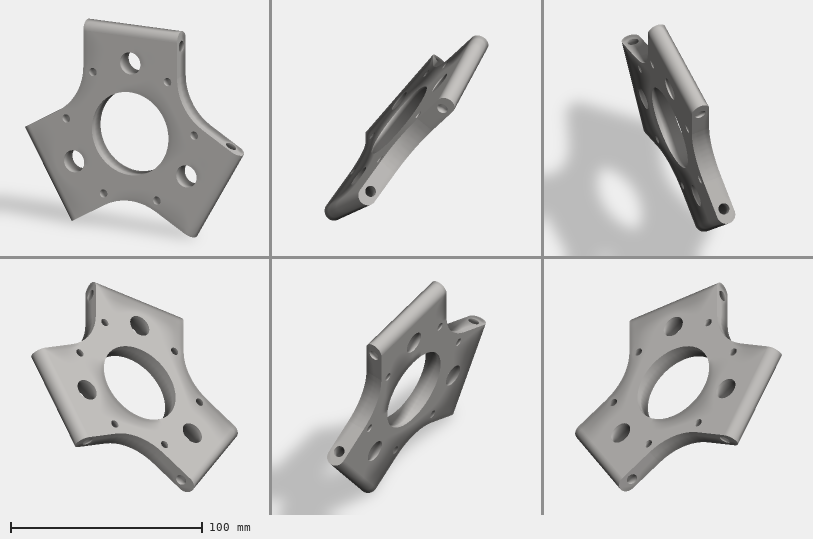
import cadquery as cq
import math

outer_width = 127.5
thickness = 10.0
arm_width = 55.1
arm_count = 3
arm_half_width = arm_width / 2
arm_reach = (outer_width / 2 - arm_half_width * math.sin(math.radians(30))) / math.cos(math.radians(30))

inner_corner_radius = 30.0
tip_radius = thickness / 2

bore_diameter = 45.0
arm_hole_diameter = 12.0
arm_hole_distance = 38.1
screw_hole_diameter = 4.5
screw_circle_radius = 37.7
screw_angle_from_arm = 35.5
pin_hole_diameter = 5.9
pin_hole_inset = 8.0


def polar_point(radius, angle_from_top):
    """Point in the plate plane, with the angle measured from +Z."""
    angle = math.radians(angle_from_top)
    return (radius * math.sin(angle), radius * math.cos(angle))


def make_arm():
    """Upright arm from the plate centre to its fully rounded tip."""
    tip_centre = arm_reach - tip_radius
    profile = (
        cq.Workplane("YZ", origin=(-arm_half_width, 0, 0))
        .moveTo(-tip_radius, 0)
        .lineTo(-tip_radius, tip_centre)
        .threePointArc((0, arm_reach), (tip_radius, tip_centre))
        .lineTo(tip_radius, 0)
        .close()
    )
    return profile.extrude(arm_width)


def make_inner_corner_web():
    """Concave fill between the upright arm and its neighbour on the +X side."""
    corner_height = arm_half_width / math.tan(math.radians(60))
    tangent_length = inner_corner_radius / math.tan(math.radians(60))
    upper = (arm_half_width, corner_height + tangent_length)
    lower = (
        arm_half_width + tangent_length * math.cos(math.radians(30)),
        corner_height - tangent_length * math.sin(math.radians(30)),
    )
    arc_centre = (arm_half_width + inner_corner_radius, upper[1])
    arc_middle = (
        arc_centre[0] - inner_corner_radius * math.cos(math.radians(30)),
        arc_centre[1] - inner_corner_radius * math.sin(math.radians(30)),
    )
    return (
        cq.Workplane("XZ", origin=(0, thickness / 2, 0))
        .polyline([(0, 0), upper])
        .threePointArc(arc_middle, lower)
        .close()
        .extrude(thickness)
    )


def make_cross_holes(points, diameter):
    """Round cutters running through the plate thickness."""
    return (
        cq.Workplane("XZ", origin=(0, thickness / 2, 0))
        .pushPoints(points)
        .circle(diameter / 2)
        .extrude(thickness)
    )


def make_pin_hole():
    """Hinge-pin cutter running across the full width of the upright arm."""
    return (
        cq.Workplane("YZ", origin=(-arm_half_width, 0, 0))
        .center(0, arm_reach - pin_hole_inset)
        .circle(pin_hole_diameter / 2)
        .extrude(arm_width)
    )


def around_centre(shape, index):
    """Turn a shape about the Y axis to the given arm."""
    return shape.rotate((0, 0, 0), (0, 1, 0), index * 360 / arm_count)


arm = make_arm()
web = make_inner_corner_web()
body = arm.union(web)
for index in range(1, arm_count):
    body = body.union(around_centre(arm, index))
    body = body.union(around_centre(web, index))

body = body.cut(make_cross_holes([(0, 0)], bore_diameter))

arm_hole_points = [(0, arm_hole_distance)]
screw_points = [
    polar_point(screw_circle_radius, side * screw_angle_from_arm) for side in (-1, 1)
]
arm_cutters = [
    make_cross_holes(arm_hole_points, arm_hole_diameter),
    make_cross_holes(screw_points, screw_hole_diameter),
    make_pin_hole(),
]
for index in range(arm_count):
    for cutter in arm_cutters:
        body = body.cut(around_centre(cutter, index))

result = body